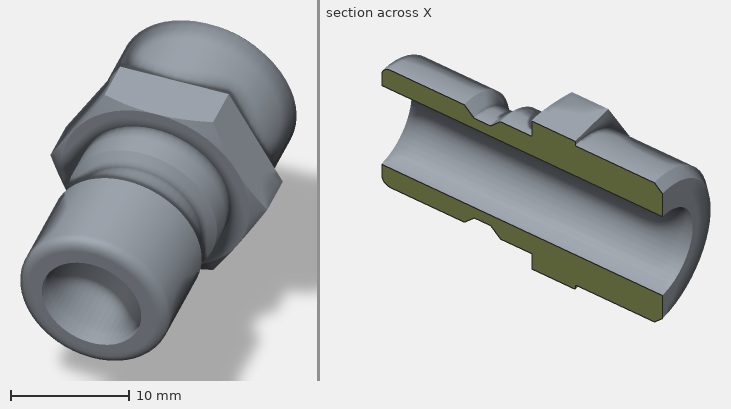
import cadquery as cq
import math

length = 29.0
bore_diameter = 9.0

plug_radius = 13.5 / 2
nose_fillet = 1.0
groove_radius = 11.48 / 2
groove_floor_start = 9.57
groove_floor_end = 11.25
groove_depth = plug_radius - groove_radius

hex_start = 15.5
hex_end = 20.0
hex_flats = 17.0
hex_corners = hex_flats / math.cos(math.radians(30))
hex_chamfer_angle = 30.0

rear_radius = 16.0 / 2
rear_chamfer = 0.85


def make_body():
    """Revolve the plug and rear end; X is radius and Y is the axis."""
    profile = (
        cq.Workplane("XY")
        .moveTo(0, 0)
        .lineTo(plug_radius - nose_fillet, 0)
        .radiusArc((plug_radius, nose_fillet), -nose_fillet)
        .lineTo(plug_radius, groove_floor_start - groove_depth)
        .lineTo(groove_radius, groove_floor_start)
        .lineTo(groove_radius, groove_floor_end)
        .lineTo(plug_radius, groove_floor_end + groove_depth)
        .lineTo(plug_radius, hex_end)
        .lineTo(rear_radius, hex_end)
        .lineTo(rear_radius, length - rear_chamfer)
        .lineTo(rear_radius - rear_chamfer, length)
        .lineTo(0, length)
        .close()
    )
    return profile.revolve(360, (0, 0), (0, 1))


def make_collar():
    """Cut the corners of the hexagon with a cone on its plug side."""
    hexagon = (
        cq.Workplane("XZ", origin=(0, hex_start, 0))
        .polygon(6, hex_corners)
        .extrude(hex_start - hex_end)
    )
    face_radius = hex_flats / 2
    outer_radius = hex_corners
    cone_rise = (outer_radius - face_radius) * math.tan(math.radians(hex_chamfer_angle))
    envelope = (
        cq.Workplane("XY")
        .moveTo(0, hex_start)
        .lineTo(face_radius, hex_start)
        .lineTo(outer_radius, hex_start + cone_rise)
        .lineTo(outer_radius, length)
        .lineTo(0, length)
        .close()
        .revolve(360, (0, 0), (0, 1))
    )
    return hexagon.intersect(envelope)


bore = cq.Workplane("XZ").circle(bore_diameter / 2).extrude(-length)

result = make_body().union(make_collar()).cut(bore)